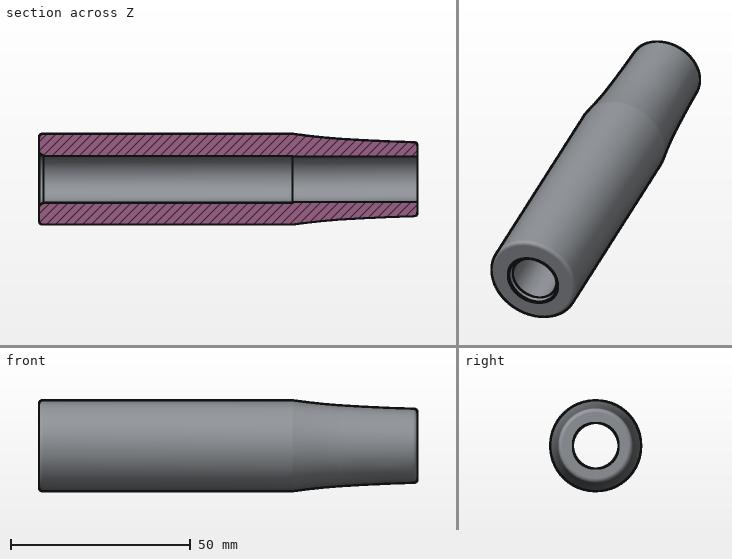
import cadquery as cq

length = 105.4
body_radius = 25.4 / 2
edge_radius = 1.1

taper_start = 70.6
neck_x = 83.4
neck_radius = 11.33
tip_radius = 10.3
shoulder_sag = 0.1
tip_sag = 0.1

entry_bore_radius = 13.0 / 2
bore_radius = 12.6 / 2
entry_bore_depth = taper_start

mouth_radius = 7.5
lip_radius = 7.2
lip_depth = 0.2
flare_depth = 1.3


def sagged_midpoint(start, end, sag):
    """Point halfway along a stretch, sunk towards the axis by the sag."""
    return ((start[0] + end[0]) / 2, (start[1] + end[1]) / 2 - sag)


def make_body():
    """Revolve the outer outline about X and round both end rims."""
    shoulder = (taper_start, body_radius)
    neck = (neck_x, neck_radius)
    tip = (length, tip_radius)
    outline = (
        cq.Workplane("XY")
        .lineTo(0, body_radius)
        .lineTo(*shoulder)
        .threePointArc(sagged_midpoint(shoulder, neck, shoulder_sag), neck)
        .threePointArc(sagged_midpoint(neck, tip, tip_sag), tip)
        .lineTo(length, 0)
        .close()
    )
    body = outline.revolve(360, (0, 0, 0), (1, 0, 0))
    return body.faces("<X or >X").edges().fillet(edge_radius)


def cut_bore(body):
    """Cut the stepped through bore with its two-stage flared mouth."""
    bore_outline = (
        cq.Workplane("XY")
        .lineTo(0, mouth_radius)
        .lineTo(lip_depth, lip_radius)
        .lineTo(flare_depth, entry_bore_radius)
        .lineTo(entry_bore_depth, entry_bore_radius)
        .lineTo(entry_bore_depth, bore_radius)
        .lineTo(length, bore_radius)
        .lineTo(length, 0)
        .close()
    )
    return body.cut(bore_outline.revolve(360, (0, 0, 0), (1, 0, 0)))


result = cut_bore(make_body())